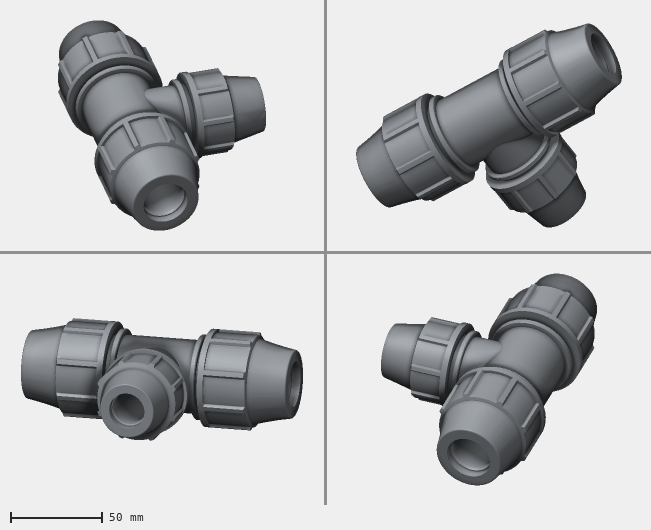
import cadquery as cq
import math

run_length = 150.0
branch_reach = 74.0
rib_count = 8
rib_root_angle = 9.4
rib_tip_angle = 5.6
flange_width = 3.3
ring_width = 3.0
ring_gap = 2.5
ring_edge_chamfer = 0.5
rib_root_fillet = 0.5
socket_depth = 4.8
lead_in_width = 0.6
lead_in_run = 1.4
nut_shoulder_slope = 0.4

run_end = dict(
    reach=run_length / 2, pipe=40.5, bore=22.5, socket=25.0,
    mouth=37.5, cone_mid=41.5, cone_base=47.0, mouth_fillet=0.9,
    barrel=50.7, rib_tip=54.0, flange=54.0, ring=47.0,
    nut_start=20.8, flange_start=44.8,
)
branch_end = dict(
    reach=branch_reach, pipe=36.0, bore=18.0, socket=20.0,
    mouth=30.2, cone_mid=33.9, cone_base=37.8, mouth_fillet=0.6,
    barrel=44.2, rib_tip=47.1, flange=48.0, ring=41.7,
    nut_start=18.6, flange_start=37.5,
)


def cylinder(diameter, start, end):
    """Cylinder on the Z axis between two heights."""
    return cq.Workplane("XY").workplane(offset=start).circle(diameter / 2).extrude(end - start)


def polar(radius, angle):
    """Point at a radius and an angle in degrees."""
    return (radius * math.cos(math.radians(angle)), radius * math.sin(math.radians(angle)))


def taper(end):
    """Nose of the nut: a slightly curved flare with a rounded mouth edge."""
    top = end["reach"]
    base = top - end["nut_start"]
    profile = (
        cq.Workplane("XZ")
        .moveTo(0, top)
        .lineTo(end["mouth"] / 2, top)
        .threePointArc((end["cone_mid"] / 2, (top + base) / 2), (end["cone_base"] / 2, base))
        .lineTo(0, base)
        .close()
    )
    return profile.revolve(360, (0, 0), (0, 1)).faces(">Z").edges().fillet(end["mouth_fillet"])


def ribbed_barrel(end):
    """Barrel with tapered grip ribs placed midway between the main axes."""
    pitch = 360 / rib_count
    root_radius = end["barrel"] / 2
    tip_radius = end["rib_tip"] / 2
    low = end["reach"] - end["flange_start"]
    high = end["reach"] - end["nut_start"]
    body = cylinder(end["barrel"], low, high)
    for index in range(rib_count):
        middle = (index + 0.5) * pitch
        rib = (
            cq.Workplane("XY")
            .workplane(offset=low)
            .lineTo(*polar(root_radius, middle - rib_root_angle / 2))
            .lineTo(*polar(tip_radius, middle - rib_tip_angle / 2))
            .threePointArc(polar(tip_radius, middle), polar(tip_radius, middle + rib_tip_angle / 2))
            .lineTo(*polar(root_radius, middle + rib_root_angle / 2))
            .close()
            .extrude(high - low)
        )
        body = body.union(rib)
    mid_radius = (root_radius + tip_radius) / 2

    def at_root(edge):
        center = edge.Center()
        return math.hypot(center.x, center.y) < mid_radius

    root_edges = body.edges("|Z").filter(at_root)
    return root_edges.fillet(rib_root_fillet)


def nut_envelope(end):
    """Solid that slopes back the front face of the barrel and its ribs."""
    front = end["reach"] - end["nut_start"]
    back = end["reach"] - end["flange_start"]
    inner = end["cone_base"] / 2
    outer = end["rib_tip"] / 2
    profile = (
        cq.Workplane("XZ")
        .moveTo(0, back)
        .lineTo(outer, back)
        .lineTo(outer, front - (outer - inner) * nut_shoulder_slope)
        .lineTo(inner, front)
        .lineTo(0, front)
        .close()
    )
    return profile.revolve(360, (0, 0), (0, 1))


def nut(end):
    """Clamping nut: tapered nose, ribbed barrel and back flange."""
    flange_top = end["reach"] - end["flange_start"]
    barrel = ribbed_barrel(end).intersect(nut_envelope(end))
    flange = cylinder(end["flange"], flange_top - flange_width, flange_top)
    return barrel.union(flange).union(taper(end))


def stop_ring(end):
    """Thin collar on the pipe behind the nut."""
    top = end["reach"] - end["flange_start"] - flange_width - ring_gap
    return cylinder(end["ring"], top - ring_width, top).edges().chamfer(ring_edge_chamfer)


def outer_end(end):
    """Pipe, stop ring and nut, pointing along +Z from the origin."""
    pipe = cylinder(end["pipe"], 0, end["reach"] - end["nut_start"])
    return pipe.union(stop_ring(end)).union(nut(end))


def bore(end):
    """Bore from the origin, with a lead-in cone below the flat floor of the mouth socket."""
    top = end["reach"]
    step = top - socket_depth
    bore_radius = end["bore"] / 2
    profile = (
        cq.Workplane("XZ")
        .lineTo(bore_radius, 0)
        .lineTo(bore_radius, step - lead_in_run)
        .lineTo(bore_radius + lead_in_width, step)
        .lineTo(end["socket"] / 2, step)
        .lineTo(end["socket"] / 2, top)
        .lineTo(0, top)
        .close()
    )
    return profile.revolve(360, (0, 0), (0, 1))


def tee(shape):
    """Place a shape made for each end along +X, -X and +Y."""
    right = shape(run_end).rotate((0, 0, 0), (0, 1, 0), 90)
    left = right.mirror("YZ")
    branch = shape(branch_end).rotate((0, 0, 0), (1, 0, 0), -90)
    return right.union(left).union(branch)


result = tee(outer_end).cut(tee(bore))